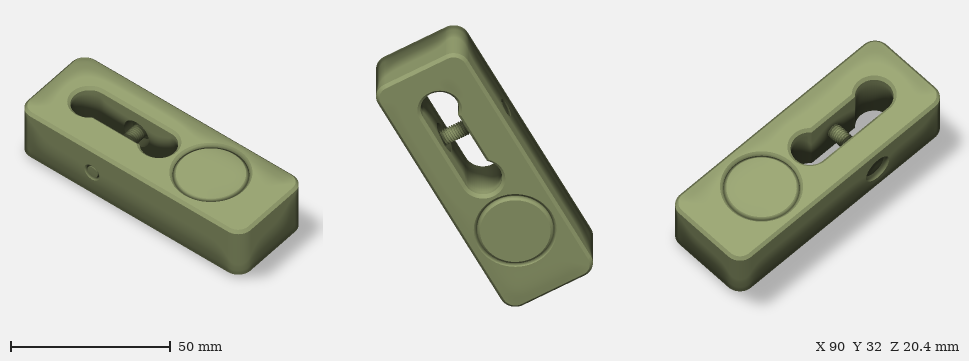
import cadquery as cq

LENGTH = 90.0
WIDTH = 32.0
HEIGHT = 20.0
CORNER_RADIUS = 5.0
CHAMFER = 1.0

SLOT_X = -15.0
SLOT_END_RADIUS = 6.0
SLOT_END_SPACING = 28.0
SLOT_LEDGE_Y = -4.0

DISC_X = 20.0
DISC_DIAMETER = 24.0
DISC_DROP = 0.45

SCREW_DIAMETER = 5.0
SCREW_CORE_DIAMETER = 4.1
THREAD_PITCH = 0.8
THREAD_CLEARANCE = 0.01
SCREW_SINK = 0.3
HEAD_DIAMETER = 8.5
HEAD_HEIGHT = 5.0
SHANK_LENGTH = 25.0
HEAD_HOLE_DIAMETER = 10.0
SCREW_HOLE_CHAMFER = 0.5

RIDGE_HALF_ROOT = 0.42 * THREAD_PITCH
RIDGE_HALF_CREST = 0.08 * THREAD_PITCH
RIDGE_EMBED = 0.045

TIP_RELIEF = THREAD_PITCH

SCREW_Z = HEIGHT / 2
FRONT_Y = -WIDTH / 2
BACK_Y = WIDTH / 2
SCREW_TIP_Y = FRONT_Y + SCREW_SINK
HEAD_FACE_Y = SCREW_TIP_Y + SHANK_LENGTH


def y_cylinder(diameter, start_y, end_y):
    """Cylinder on the screw axis between two Y positions."""
    start = cq.Plane(origin=(SLOT_X, start_y, SCREW_Z), xDir=(1, 0, 0), normal=(0, 1, 0))
    return cq.Workplane(start).circle(diameter / 2).extrude(end_y - start_y)


def make_slot():
    """Two round holes joined by a bar from the ledge to the tangent back wall."""
    end_x = SLOT_END_SPACING / 2
    ends = (
        cq.Workplane("XY")
        .pushPoints([(SLOT_X - end_x, 0), (SLOT_X + end_x, 0)])
        .circle(SLOT_END_RADIUS)
        .extrude(HEIGHT)
    )
    bar_width = SLOT_END_RADIUS - SLOT_LEDGE_Y
    bar = (
        cq.Workplane("XY")
        .center(SLOT_X, SLOT_LEDGE_Y + bar_width / 2)
        .rect(SLOT_END_SPACING, bar_width)
        .extrude(HEIGHT)
    )
    return ends.union(bar)


def make_housing():
    block = cq.Workplane("XY").rect(LENGTH, WIDTH).extrude(HEIGHT)
    block = block.edges("|Z").fillet(CORNER_RADIUS)

    disc_hole = cq.Workplane("XY").center(DISC_X, 0).circle(DISC_DIAMETER / 2).extrude(HEIGHT)
    block = block.cut(make_slot()).cut(disc_hole)
    block = block.faces("<Z or >Z").chamfer(CHAMFER)

    block = block.cut(y_cylinder(SCREW_DIAMETER, FRONT_Y, 0))
    block = block.faces("<Y").edges("%CIRCLE").chamfer(SCREW_HOLE_CHAMFER)
    return block.cut(y_cylinder(HEAD_HOLE_DIAMETER, 0, BACK_Y))


def make_disc():
    disc = cq.Workplane("XY").circle(DISC_DIAMETER / 2).extrude(HEIGHT)
    return disc.faces("<Z or >Z").chamfer(CHAMFER).translate((DISC_X, 0, -DISC_DROP))


def make_thread():
    """Helical ridge that climbs +Z along the shank, starting behind the bare tip."""
    root_radius = SCREW_CORE_DIAMETER / 2 - RIDGE_EMBED
    crest_radius = SCREW_DIAMETER / 2 - THREAD_CLEARANCE
    helix = cq.Wire.makeHelix(THREAD_PITCH, SHANK_LENGTH - TIP_RELIEF - RIDGE_HALF_ROOT, root_radius)
    profile = cq.Workplane("XZ").polyline([
        (root_radius, -RIDGE_HALF_ROOT),
        (crest_radius, -RIDGE_HALF_CREST),
        (crest_radius, RIDGE_HALF_CREST),
        (root_radius, RIDGE_HALF_ROOT),
    ]).close()
    ridge = profile.sweep(cq.Workplane(helix), isFrenet=True)
    return ridge.translate((0, 0, TIP_RELIEF))


def make_screw():
    thread = make_thread().rotate((0, 0, 0), (1, 0, 0), -90).translate((SLOT_X, SCREW_TIP_Y, SCREW_Z))
    core = y_cylinder(SCREW_CORE_DIAMETER, SCREW_TIP_Y, HEAD_FACE_Y)
    head = y_cylinder(HEAD_DIAMETER, HEAD_FACE_Y, HEAD_FACE_Y + HEAD_HEIGHT)
    return core.union(thread).union(head)


housing = make_housing()
disc = make_disc()
screw = make_screw()

result = cq.Compound.makeCompound([housing.val(), disc.val(), screw.val()])